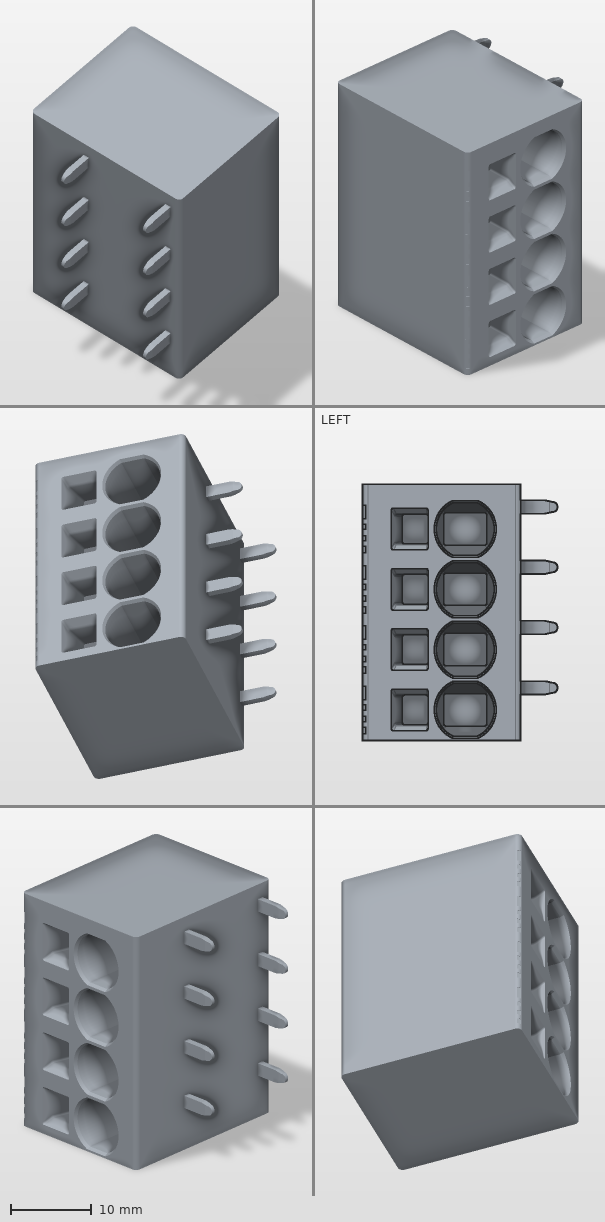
import cadquery as cq
import math

body_width = 24.15
body_depth = 19.62
body_height = 31.8
corner_radius = 0.67

pole_count = 4
pole_pitch = 7.47
first_pole_height = 3.82
pole_heights = [first_pole_height + pole_pitch * index for index in range(pole_count)]

wire_y = 6.87
wire_diameter = 7.7
wire_flat_height = 7.05
wire_chamfer_width = 0.25
wire_chamfer_depth = 0.45
wire_bore_depth = 8.9
floor_width = 5.3
floor_height = 4.0
funnel_depth = 2.55
funnel_spread = 1.37

opening_corner_radius = 0.25

release_near_y = 11.48
release_mouth_width = 4.55
release_mouth_height = 5.15
release_inner_height = 3.75
release_floor_height = 3.7
release_bend_radius = 0.83
mouth_depth = 1.3
release_depth = 4.6
release_narrowing = 1.37

pin_columns = (9.03, 22.25)
pin_rise = 2.75
pin_width = 0.83
pin_height = 1.7
pin_length = 4.58
pin_shoulder = 3.02
pin_tip_radius = 0.65
pin_tip_width = 0.45
pin_side_taper_start = 3.53
pin_root = 0.32

flat_leg = 0.48
edge_flats = ((2.1, 1.7), (0.3, 0.67), (-1.15, 0.67), (-2.55, 0.8))


def make_body():
    body = cq.Workplane("XY").box(body_width, body_depth, body_height, centered=False)
    return body.edges("|Z").fillet(corner_radius)


def side_plane(depth, y, z):
    """Plane at a depth behind the -X face, with local x along -Y, local y along Z, normal out of the part."""
    return cq.Workplane(cq.Plane(origin=(depth, y, z), xDir=(0, -1, 0), normal=(-1, 0, 0)))


def flat_sided_bore(depth, diameter, height, z):
    bore = side_plane(0, wire_y, z).circle(diameter / 2).extrude(-depth)
    band = side_plane(0, wire_y, z).rect(diameter, height).extrude(-depth)
    return bore.intersect(band)


def funnel_section(depth, z, width, height):
    """Wire of a rounded rectangle around the wire entry axis."""
    outline = side_plane(depth, wire_y, z).rect(width, height).extrude(-0.32)
    return outline.edges("|X").fillet(opening_corner_radius).faces("<X").wires().val()


def wire_entry(z):
    bore_diameter = wire_diameter - 2 * wire_chamfer_width
    bore_height = wire_flat_height - 2 * wire_chamfer_width
    funnel_end = wire_bore_depth + funnel_depth
    chamfer_taper = math.degrees(math.atan(wire_chamfer_width / wire_chamfer_depth))
    bore = flat_sided_bore(wire_bore_depth, bore_diameter, bore_height, z)
    mouth = (
        side_plane(wire_chamfer_depth, wire_y, z)
        .add(bore.faces("<X").wires().val().translate((wire_chamfer_depth, 0, 0)))
        .toPending()
        .extrude(wire_chamfer_depth, taper=-chamfer_taper)
    )
    limit = flat_sided_bore(funnel_end, bore_diameter, bore_height, z)

    funnel_width = floor_width + 2 * funnel_spread
    funnel_height = floor_height + 2 * funnel_spread
    funnel = cq.Workplane(cq.Solid.makeLoft([
        funnel_section(wire_bore_depth, z, funnel_width, funnel_height),
        funnel_section(funnel_end, z, floor_width, floor_height),
    ], True)).intersect(limit)
    return bore.union(mouth).union(funnel)


def release_opening(z):
    """Opening whose -Y side runs straight in while its +Y side leans inward."""
    far_y = release_near_y + release_mouth_width
    side = (
        cq.Workplane("XZ", origin=(0, release_near_y, z))
        .polyline([
            (0, -release_mouth_height / 2),
            (mouth_depth, -release_inner_height / 2),
            (release_depth, -release_floor_height / 2),
            (release_depth, release_floor_height / 2),
            (mouth_depth, release_inner_height / 2),
            (0, release_mouth_height / 2),
        ])
        .close()
        .extrude(-release_mouth_width)
    )
    bends = side.edges("|Y").edges("not (<X or >X)")
    side = bends.fillet(release_bend_radius)
    plan = (
        cq.Workplane("XY", origin=(0, 0, z - release_mouth_height / 2))
        .polyline([
            (0, release_near_y),
            (release_depth, release_near_y),
            (release_depth, far_y - release_narrowing),
            (0, far_y),
        ])
        .close()
        .extrude(release_mouth_height)
    )
    return side.intersect(plan).edges("not (|Y or |Z)").fillet(opening_corner_radius)


def pin(x, z):
    arc_start = pin_length - pin_tip_radius
    side = (
        cq.Workplane("YZ", origin=(x - pin_width / 2, 0, z))
        .moveTo(pin_root, -pin_height / 2)
        .lineTo(-pin_shoulder, -pin_height / 2)
        .lineTo(-arc_start, -pin_tip_radius)
        .threePointArc((-pin_length, 0), (-arc_start, pin_tip_radius))
        .lineTo(-pin_shoulder, pin_height / 2)
        .lineTo(pin_root, pin_height / 2)
        .close()
        .extrude(pin_width)
    )
    plan = (
        cq.Workplane("XY", origin=(x, 0, z - pin_height / 2))
        .polyline([
            (-pin_width / 2, pin_root),
            (-pin_width / 2, -pin_side_taper_start),
            (-pin_tip_width / 2, -pin_length),
            (pin_tip_width / 2, -pin_length),
            (pin_width / 2, -pin_side_taper_start),
            (pin_width / 2, pin_root),
        ])
        .close()
        .extrude(pin_height)
    )
    return side.intersect(plan)


def edge_flat(z, height):
    """Triangular prism that trims the rounded back edge to a 45 degree flat."""
    return (
        cq.Workplane("XY", origin=(0, body_depth, z - height / 2))
        .polyline([(0, 0), (flat_leg, 0), (0, -flat_leg)])
        .close()
        .extrude(height)
    )


result = make_body()
for pole_z in pole_heights:
    result = result.cut(wire_entry(pole_z)).cut(release_opening(pole_z))
    for offset, flat_height in edge_flats:
        result = result.cut(edge_flat(pole_z + offset, flat_height))
    for pin_x in pin_columns:
        result = result.union(pin(pin_x, pole_z + pin_rise))